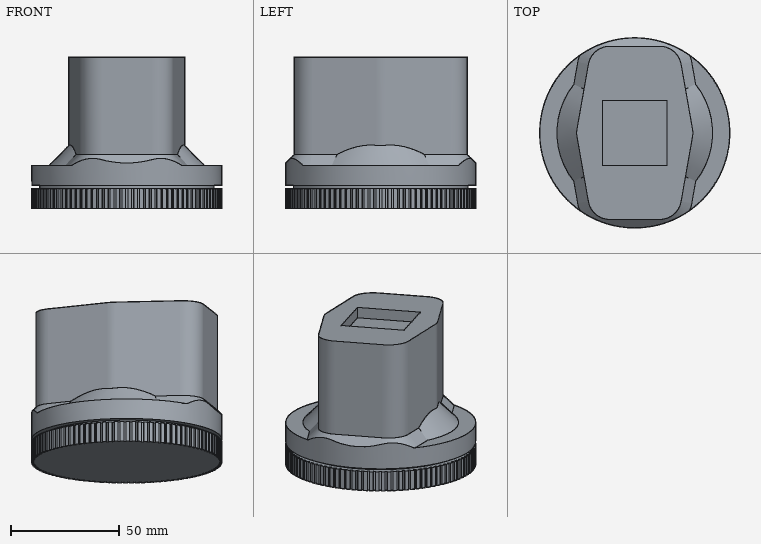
import cadquery as cq
import math

base_radius = 44.0
total_height = 70.0

ring_height = 9.2
neck_height = 1.5
neck_radius = 40.4
flange_height = 9.2
flange_bottom = ring_height + neck_height
flange_top = flange_bottom + flange_height

groove_count = 100
groove_width = 1.0
groove_depth = 1.0

grip_half_length = 40.0
grip_half_end_width = 20.0
grip_half_mid_width = 27.0
grip_corner_radius = 10.0

skirt_size = 5.0
cone_radius = 36.0
cone_height = 2 * skirt_size

pocket_side = 30.0
pocket_depth = 5.0


def disc(radius, bottom, height):
    return cq.Workplane("XY").workplane(offset=bottom).circle(radius).extrude(height)


def grip_prism(bottom, top, margin=0.0):
    """Rounded grip prism, its outline grown outward by margin."""
    side_angle = math.atan2(grip_half_mid_width - grip_half_end_width, grip_half_length)
    mid_x = grip_half_mid_width + margin / math.cos(side_angle)
    end_y = grip_half_length + margin
    end_x = mid_x - end_y * math.tan(side_angle)
    outline = [
        (mid_x, 0),
        (end_x, end_y),
        (-end_x, end_y),
        (-mid_x, 0),
        (-end_x, -end_y),
        (end_x, -end_y),
    ]
    prism = cq.Workplane("XY").workplane(offset=bottom).polyline(outline).close().extrude(top - bottom)
    return prism.edges("|Z").fillet(grip_corner_radius + margin)


def knurled_ring():
    grooves = (
        cq.Workplane("XY")
        .polarArray(base_radius, 0, 360, groove_count)
        .rect(2 * groove_depth, groove_width)
        .extrude(ring_height)
    )
    return disc(base_radius, 0, ring_height).cut(grooves)


def skirt():
    """Sloped foot around the grip, trimmed to the flange rim."""
    foot_top = flange_top + skirt_size
    foot = grip_prism(flange_bottom, foot_top, skirt_size).faces(">Z").chamfer(skirt_size)
    return foot.intersect(disc(base_radius, flange_bottom, flange_height + skirt_size))


def side_cone():
    """Cone on the flange, exposed only where it bulges past the long sides of the grip."""
    top_radius = cone_radius - cone_height
    cone = cq.Solid.makeCone(cone_radius, top_radius, cone_height, cq.Vector(0, 0, flange_top))
    return cq.Workplane(cone)


def pocket():
    floor = total_height - pocket_depth
    return cq.Workplane("XY").workplane(offset=floor).rect(pocket_side, pocket_side).extrude(pocket_depth)


result = (
    knurled_ring()
    .union(disc(neck_radius, ring_height, neck_height))
    .union(disc(base_radius, flange_bottom, flange_height))
    .union(skirt())
    .union(side_cone())
    .union(grip_prism(flange_top, total_height))
    .cut(pocket())
)